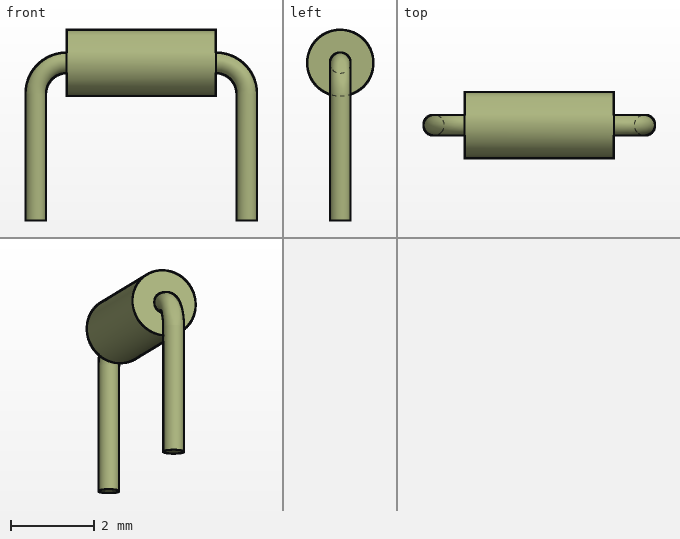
import cadquery as cq

overall_length = 5.58
overall_height = 4.6
body_diameter = 1.6
body_length = 3.595
lead_diameter = 0.5

lead_x = (overall_length - lead_diameter) / 2
bend_radius = lead_x - body_length / 2
lead_bottom_z = body_diameter / 2 - overall_height


def make_body():
    return (
        cq.Workplane("YZ", origin=(-body_length / 2, 0, 0))
        .circle(body_diameter / 2)
        .extrude(body_length)
    )


def make_right_lead():
    """Round wire rising along Z, then bending a quarter turn into the body."""
    leg = (
        cq.Workplane("XY", origin=(lead_x, 0, lead_bottom_z))
        .circle(lead_diameter / 2)
        .extrude(-bend_radius - lead_bottom_z)
    )
    bend = (
        cq.Workplane("XY", origin=(lead_x, 0, -bend_radius))
        .circle(lead_diameter / 2)
        .revolve(90, (-bend_radius, 0, 0), (-bend_radius, -1, 0))
    )
    return leg.union(bend)


right_lead = make_right_lead()
left_lead = right_lead.mirror("YZ")
result = make_body().union(right_lead).union(left_lead)